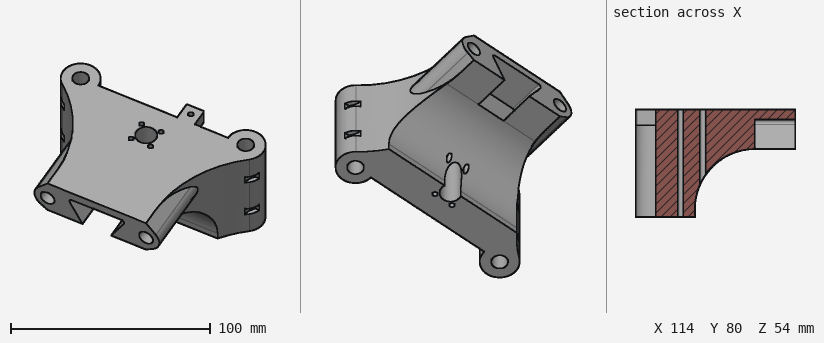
import cadquery as cq
import math

width = 114.0
height = 54.0
depth = 80.0

boss_radius = 10.0
boss_bore = 8.4
boss_x = width / 2 - boss_radius
front_y = boss_radius - depth
neck_half_width = 28.0
neck_straight = 10.0

arm_thickness = 20.0
leg_front_y = -19.7
underside_radius = 30.0
underside_y = leg_front_y - underside_radius
underside_z = -arm_thickness - underside_radius

rail_radius = 7.5
rail_bore = 8.0
rail_z = -10.9
rail_back_y = -14.8

dovetail_top_z = -5.1
dovetail_bottom_half_width = 8.1
dovetail_angle = 60.0
dovetail_corner_radius = 1.5

centre_bore = 11.0
centre_y = -18.0
bolt_hole = 2.6
bolt_spacing = 11.0

tab_x = 13.0
tab_width = 10.0
tab_length = boss_radius
tab_thickness = 8.0
tab_corner_radius = 0.6
tab_hole = 2.8

notch_height = 4.1
notch_spacing = 23.9
notch_back_y = -3.2
notch_inner_x = -7.3
notch_exit = (-4.5, -8.9)
notch_sagitta = 0.6
notch_clearance = 5.7

CUT_MARGIN = 1.1


def mirrored(shape):
    """Join a shape with its mirror image across X = 0."""
    return shape.union(shape.mirror("YZ"))


def drill_down(points, diameter):
    """Vertical cylinders through the full height."""
    return (
        cq.Workplane("XY").workplane(offset=CUT_MARGIN).pushPoints(points)
        .circle(diameter / 2).extrude(-height - 2 * CUT_MARGIN)
    )


def body():
    """Waisted block whose flanks are tangent to the neck and to the bosses."""
    arc_y = front_y + neck_straight
    gap = boss_x - neck_half_width
    flank_radius = (gap**2 + arc_y**2 - boss_radius**2) / (2 * (gap + boss_radius))
    flank_x = neck_half_width + flank_radius
    boss_angle = math.atan2(arc_y, flank_x - boss_x)
    touch_x = boss_x + boss_radius * math.cos(boss_angle)
    touch_y = boss_radius * math.sin(boss_angle)
    mid_angle = math.atan2(touch_y - arc_y, touch_x - flank_x) / 2 + math.pi / 2
    middle = (
        flank_x + flank_radius * math.cos(mid_angle),
        arc_y + flank_radius * math.sin(mid_angle),
    )
    half = (
        cq.Workplane("XY").moveTo(0, 0).lineTo(0, front_y)
        .lineTo(neck_half_width, front_y).lineTo(neck_half_width, arc_y)
        .threePointArc(middle, (touch_x, touch_y))
        .lineTo(boss_x, 0).close().extrude(-height)
    )
    boss = cq.Workplane("XY").center(boss_x, 0).circle(boss_radius).extrude(-height)
    return mirrored(half.union(boss))


def underside():
    """Space below the arm, rounded into the front of the leg."""
    corner = underside_radius * math.sqrt(0.5)
    return (
        cq.Workplane("YZ").moveTo(front_y - CUT_MARGIN, -arm_thickness)
        .lineTo(underside_y, -arm_thickness)
        .threePointArc((underside_y + corner, underside_z + corner), (leg_front_y, underside_z))
        .lineTo(leg_front_y, -height - CUT_MARGIN)
        .lineTo(front_y - CUT_MARGIN, -height - CUT_MARGIN).close()
        .extrude(width / 2 + CUT_MARGIN, both=True)
    )


def rails():
    """Round rails, blended by tangent planes to the arm's top and bottom edges."""
    top_angle = math.acos(rail_radius / -rail_z)
    bottom_angle = math.acos(rail_radius / (arm_thickness + rail_z))

    def on_rail(angle_from_up):
        return (
            neck_half_width + rail_radius * math.sin(angle_from_up),
            rail_z + rail_radius * math.cos(angle_from_up),
        )

    rail = (
        cq.Workplane("XZ", origin=(0, front_y, 0)).moveTo(0, 0).lineTo(neck_half_width, 0)
        .lineTo(*on_rail(top_angle))
        .threePointArc(on_rail(math.pi / 2), on_rail(math.pi - bottom_angle))
        .lineTo(neck_half_width, -arm_thickness).lineTo(0, -arm_thickness).close()
        .extrude(front_y - rail_back_y)
    )
    return mirrored(rail)


def rail_bores():
    return (
        cq.Workplane("XZ", origin=(0, front_y - CUT_MARGIN, 0))
        .pushPoints([(-neck_half_width, rail_z), (neck_half_width, rail_z)])
        .circle(rail_bore / 2).extrude(-depth - 2 * CUT_MARGIN)
    )


def dovetail():
    """Slot widening upwards, ending where the underside starts to curve."""
    run = (arm_thickness + dovetail_top_z) / math.tan(math.radians(dovetail_angle))
    top_half_width = dovetail_bottom_half_width + run
    return (
        cq.Workplane("XZ", origin=(0, front_y, 0))
        .moveTo(-dovetail_bottom_half_width, -arm_thickness)
        .lineTo(-top_half_width, dovetail_top_z).lineTo(top_half_width, dovetail_top_z)
        .lineTo(dovetail_bottom_half_width, -arm_thickness).close()
        .extrude(front_y - underside_y)
        .edges("|Y and >Z").fillet(dovetail_corner_radius)
    )


def tab():
    plate = (
        cq.Workplane("XY").center(tab_x, tab_length / 2)
        .rect(tab_width, tab_length).extrude(-tab_thickness)
        .edges("|Z and >Y").fillet(tab_corner_radius)
    )
    root = (
        cq.Workplane("XY").center(tab_x, 0)
        .rect(tab_width, 2 * CUT_MARGIN).extrude(-tab_thickness)
    )
    return plate.union(root)


def boss_notches():
    """Two notches on each boss: a flat back wall and a shallow concave inner wall."""
    exit_x, exit_y = notch_exit
    chord = math.hypot(exit_x - notch_inner_x, exit_y - notch_back_y)
    middle = (
        (notch_inner_x + exit_x) / 2 + notch_sagitta * (notch_back_y - exit_y) / chord,
        (notch_back_y + exit_y) / 2 + notch_sagitta * (exit_x - notch_inner_x) / chord,
    )
    outer_x = -boss_radius - notch_clearance
    first_z = -height / 2 - notch_spacing / 2 - notch_height / 2
    notches = cq.Workplane("XY")
    for level in range(2):
        notch = (
            cq.Workplane("XY", origin=(-boss_x, 0, first_z + level * notch_spacing))
            .moveTo(outer_x, notch_back_y).lineTo(notch_inner_x, notch_back_y)
            .threePointArc(middle, notch_exit)
            .lineTo(exit_x, exit_y - notch_clearance)
            .lineTo(outer_x, exit_y - notch_clearance).close()
            .extrude(notch_height)
        )
        notches = notches.add(notch)
    return mirrored(notches.combine())


bolt_offset = bolt_spacing / 2
bolt_points = [
    (x, centre_y + y) for x in (-bolt_offset, bolt_offset) for y in (-bolt_offset, bolt_offset)
]

result = (
    body()
    .cut(underside())
    .union(rails())
    .union(tab())
    .cut(dovetail())
    .cut(rail_bores())
    .cut(drill_down([(-boss_x, 0), (boss_x, 0)], boss_bore))
    .cut(drill_down([(0, centre_y)], centre_bore))
    .cut(drill_down(bolt_points, bolt_hole))
    .cut(drill_down([(tab_x, tab_length / 2)], tab_hole))
    .cut(boss_notches())
)